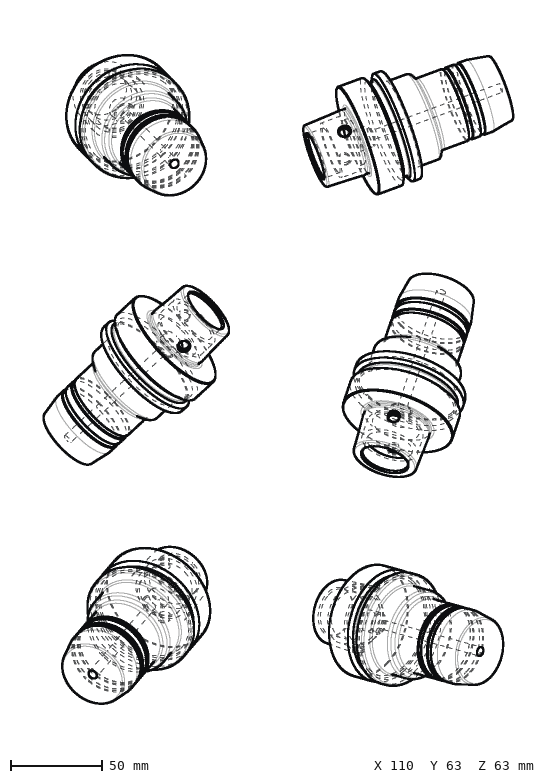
import cadquery as cq
import math

TOTAL_LENGTH = 110.0

SHANK_LENGTH = 25.0
TAPER_SMALL_RADIUS = 18.02
TAPER_LARGE_RADIUS = 19.03
TAPER_END = 22.2
RELIEF_START = 23.5
RELIEF_RADIUS = 37.65 / 2
SHANK_TIP_FILLET = 0.9

FLANGE_RADIUS = 63.0 / 2
FLANGE_END = 51.0
FLANGE_CHAMFER = 0.4
FLANGE_FILLET = 1.0
DISH_RADIUS = 20.9
DISH_DEPTH = 0.15
DISH_FILLET = 0.6

GRIPPER_CENTER = 42.95
GRIPPER_FLOOR_WIDTH = 3.75
GRIPPER_FLOOR_RADIUS = 55.0 / 2
GRIPPER_FLOOR_FILLET = 0.5
GRIPPER_FLARE = 1.5
GRIPPER_FLARE_ANGLE = 60.0

COLLAR_RADIUS = 50.0 / 2
COLLAR_END = 63.4
COLLAR_ROOT_FILLET = 1.0
NOSE_RADIUS = 42.0 / 2
SHOULDER_ANGLE = 60.0
SHOULDER_FILLET = 2.0
NOSE_TAPER_START = 97.5
NOSE_TAPER_ANGLE = 10.0
NOSE_TIP_FILLET = 1.0

RING_GROOVES = [(82.6, 2.6), (89.6, 2.9)]
RING_FLOOR_RADIUS = 41.0 / 2
RING_WALL_RUN = 0.3

MOUTH_RADIUS = 13.55
MOUTH_CHAMFER_LENGTH = 1.2
BORE_RADIUS = 26.0 / 2
BORE_LENGTH = 9.6
CHAMBER_RADIUS = 32.0 / 2
CHAMBER_END = 21.6
CHAMBER_END_FILLET = 1.5
FLOOR_STEP_RADIUS = 26.6 / 2
BORE_DEPTH = SHANK_LENGTH
BORE_FLOOR_FILLET = 1.5
COUNTERBORE_RADIUS = 12.0 / 2
COUNTERBORE_DEPTH = 8.0
COUNTERSINK_RADIUS = 5.15
COUNTERSINK_HALF_ANGLE = 59.0
COOLANT_RADIUS = 5.0 / 2

CROSS_HOLE_X = 17.35
CROSS_HOLE_RADIUS = 6.0 / 2
CROSS_HOLE_CHAMFER = 0.6


def revolve_about_x(profile):
    return profile.close().revolve(360, (0, 0, 0), (1, 0, 0))


def shank_radius_at(x):
    slope = (TAPER_LARGE_RADIUS - TAPER_SMALL_RADIUS) / TAPER_END
    return TAPER_SMALL_RADIUS + slope * x


def make_body():
    dish_floor = SHANK_LENGTH + DISH_DEPTH
    angle = math.radians(SHOULDER_ANGLE)
    arc_run = SHOULDER_FILLET * math.sin(angle)
    arc_drop = SHOULDER_FILLET * (1 - math.cos(angle))
    half_run = SHOULDER_FILLET * math.sin(angle / 2)
    half_drop = SHOULDER_FILLET * (1 - math.cos(angle / 2))
    cone_drop = COLLAR_RADIUS - NOSE_RADIUS - 2 * arc_drop
    cone_start = COLLAR_END + arc_run
    cone_end = cone_start + cone_drop / math.tan(angle)
    nose_start = cone_end + arc_run
    taper_drop = (TOTAL_LENGTH - NOSE_TAPER_START) * math.tan(math.radians(NOSE_TAPER_ANGLE))
    profile = (
        cq.Workplane("XY")
        .lineTo(0, TAPER_SMALL_RADIUS)
        .lineTo(TAPER_END, TAPER_LARGE_RADIUS)
        .lineTo(RELIEF_START, RELIEF_RADIUS)
        .lineTo(dish_floor - DISH_FILLET, RELIEF_RADIUS)
        .radiusArc((dish_floor, RELIEF_RADIUS + DISH_FILLET), -DISH_FILLET)
        .lineTo(SHANK_LENGTH, DISH_RADIUS)
        .lineTo(SHANK_LENGTH, FLANGE_RADIUS - FLANGE_CHAMFER)
        .lineTo(SHANK_LENGTH + FLANGE_CHAMFER, FLANGE_RADIUS)
        .lineTo(FLANGE_END - FLANGE_FILLET, FLANGE_RADIUS)
        .radiusArc((FLANGE_END, FLANGE_RADIUS - FLANGE_FILLET), FLANGE_FILLET)
        .lineTo(FLANGE_END, COLLAR_RADIUS + COLLAR_ROOT_FILLET)
        .radiusArc((FLANGE_END + COLLAR_ROOT_FILLET, COLLAR_RADIUS), -COLLAR_ROOT_FILLET)
        .lineTo(COLLAR_END, COLLAR_RADIUS)
        .threePointArc(
            (COLLAR_END + half_run, COLLAR_RADIUS - half_drop),
            (cone_start, COLLAR_RADIUS - arc_drop),
        )
        .lineTo(cone_end, NOSE_RADIUS + arc_drop)
        .threePointArc(
            (nose_start - half_run, NOSE_RADIUS + half_drop),
            (nose_start, NOSE_RADIUS),
        )
        .lineTo(NOSE_TAPER_START, NOSE_RADIUS)
        .lineTo(TOTAL_LENGTH, NOSE_RADIUS - taper_drop)
        .lineTo(TOTAL_LENGTH, 0)
    )
    body = revolve_about_x(profile)
    body = body.faces("<X").edges().fillet(SHANK_TIP_FILLET)
    return body.faces(">X").edges().fillet(NOSE_TIP_FILLET)


def make_gripper_groove():
    left = GRIPPER_CENTER - GRIPPER_FLOOR_WIDTH / 2
    right = GRIPPER_CENTER + GRIPPER_FLOOR_WIDTH / 2
    flare_depth = GRIPPER_FLARE * math.tan(math.radians(GRIPPER_FLARE_ANGLE))
    flare_radius = FLANGE_RADIUS - flare_depth
    fillet_top = GRIPPER_FLOOR_RADIUS + GRIPPER_FLOOR_FILLET
    profile = (
        cq.Workplane("XY")
        .moveTo(left - GRIPPER_FLARE, FLANGE_RADIUS)
        .lineTo(left, flare_radius)
        .lineTo(left, fillet_top)
        .radiusArc((left + GRIPPER_FLOOR_FILLET, GRIPPER_FLOOR_RADIUS), -GRIPPER_FLOOR_FILLET)
        .lineTo(right - GRIPPER_FLOOR_FILLET, GRIPPER_FLOOR_RADIUS)
        .radiusArc((right, fillet_top), -GRIPPER_FLOOR_FILLET)
        .lineTo(right, flare_radius)
        .lineTo(right + GRIPPER_FLARE, FLANGE_RADIUS)
    )
    return revolve_about_x(profile)


def make_ring_groove(start, width):
    profile = (
        cq.Workplane("XY")
        .moveTo(start, NOSE_RADIUS)
        .lineTo(start + RING_WALL_RUN, RING_FLOOR_RADIUS)
        .lineTo(start + width - RING_WALL_RUN, RING_FLOOR_RADIUS)
        .lineTo(start + width, NOSE_RADIUS)
    )
    return revolve_about_x(profile)


def make_bore():
    counterbore_floor = BORE_DEPTH + COUNTERBORE_DEPTH
    countersink_drop = COUNTERSINK_RADIUS - COOLANT_RADIUS
    countersink_end = counterbore_floor + countersink_drop / math.tan(math.radians(COUNTERSINK_HALF_ANGLE))
    profile = (
        cq.Workplane("XY")
        .lineTo(0, MOUTH_RADIUS)
        .lineTo(MOUTH_CHAMFER_LENGTH, BORE_RADIUS)
        .lineTo(BORE_LENGTH, BORE_RADIUS)
        .lineTo(BORE_LENGTH, CHAMBER_RADIUS)
        .lineTo(CHAMBER_END - CHAMBER_END_FILLET, CHAMBER_RADIUS)
        .radiusArc((CHAMBER_END, CHAMBER_RADIUS - CHAMBER_END_FILLET), CHAMBER_END_FILLET)
        .lineTo(CHAMBER_END, FLOOR_STEP_RADIUS)
        .lineTo(BORE_DEPTH - BORE_FLOOR_FILLET, FLOOR_STEP_RADIUS)
        .radiusArc((BORE_DEPTH, FLOOR_STEP_RADIUS - BORE_FLOOR_FILLET), BORE_FLOOR_FILLET)
        .lineTo(BORE_DEPTH, COUNTERBORE_RADIUS)
        .lineTo(counterbore_floor, COUNTERBORE_RADIUS)
        .lineTo(counterbore_floor, COUNTERSINK_RADIUS)
        .lineTo(countersink_end, COOLANT_RADIUS)
        .lineTo(TOTAL_LENGTH, COOLANT_RADIUS)
        .lineTo(TOTAL_LENGTH, 0)
    )
    return revolve_about_x(profile)


def drill_cross_hole(body):
    mouth_radius = CROSS_HOLE_RADIUS + CROSS_HOLE_CHAMFER
    cone_base = shank_radius_at(CROSS_HOLE_X) - CROSS_HOLE_CHAMFER
    profile = (
        cq.Workplane("XZ")
        .lineTo(CROSS_HOLE_RADIUS, 0)
        .lineTo(CROSS_HOLE_RADIUS, cone_base)
        .lineTo(mouth_radius, cone_base + CROSS_HOLE_CHAMFER)
        .lineTo(mouth_radius, TAPER_LARGE_RADIUS)
        .lineTo(0, TAPER_LARGE_RADIUS)
        .close()
    )
    upper_hole = profile.revolve(360, (0, 0, 0), (0, 1, 0)).translate((CROSS_HOLE_X, 0, 0))
    return body.cut(upper_hole).cut(upper_hole.mirror("XY"))


body = make_body().cut(make_gripper_groove())
for groove_start, groove_width in RING_GROOVES:
    body = body.cut(make_ring_groove(groove_start, groove_width))
body = body.cut(make_bore())
result = drill_cross_hole(body)